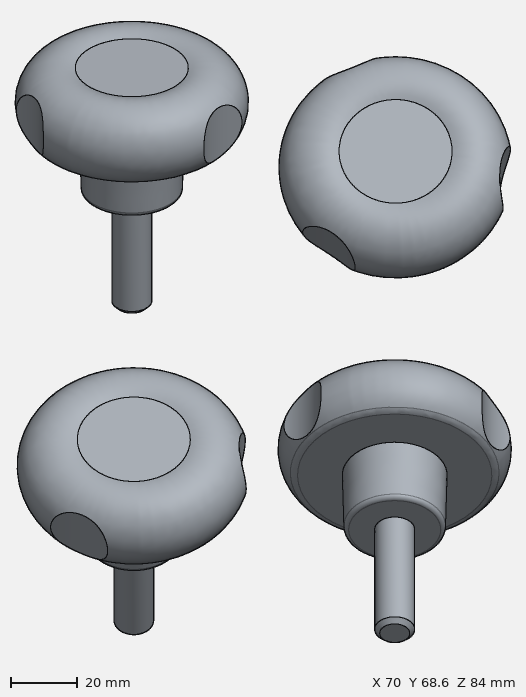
import cadquery as cq
import math

total_height = 84.0

stud_diameter = 12.0
stud_length = 40.0
stud_chamfer = 1.5

hub_length = 21.0
hub_top_diameter = 31.4
hub_bottom_diameter = 30.4
hub_edge_fillet = 1.4

head_diameter = 70.0
ring_section_radius = 13.0
dish_depth = 1.0
head_edge_fillet = 3.0

scallop_count = 3
scallop_diameter = 50.0
scallop_floor_distance = 31.6
first_scallop_angle = -90.0

ring_radius = head_diameter / 2 - ring_section_radius
ring_center_z = total_height - ring_section_radius
head_bottom_z = stud_length + hub_length
dish_floor_z = total_height - dish_depth


def ring_section_half_width(z):
    """Half width of the round ring section at height z."""
    return math.sqrt(ring_section_radius**2 - (z - ring_center_z) ** 2)


def make_stud():
    stud = cq.Workplane("XY").circle(stud_diameter / 2).extrude(head_bottom_z)
    return stud.faces("<Z").chamfer(stud_chamfer)


def make_hub():
    hub = (
        cq.Workplane("XY", origin=(0, 0, stud_length))
        .circle(hub_bottom_diameter / 2)
        .workplane(offset=hub_length)
        .circle(hub_top_diameter / 2)
        .loft()
    )
    return hub.faces("<Z").edges().fillet(hub_edge_fillet)


def make_head():
    dish_radius = ring_radius - ring_section_half_width(dish_floor_z)
    underside_radius = ring_radius + ring_section_half_width(head_bottom_z)
    head = (
        cq.Workplane("XZ")
        .moveTo(0, head_bottom_z)
        .lineTo(underside_radius, head_bottom_z)
        .threePointArc((head_diameter / 2, ring_center_z), (dish_radius, dish_floor_z))
        .lineTo(0, dish_floor_z)
        .close()
        .revolve(360, (0, 0, 0), (0, 1, 0))
    )
    return head.faces("<Z").edges().fillet(head_edge_fillet)


def make_scallop_cutters():
    center_distance = scallop_floor_distance + scallop_diameter / 2
    return (
        cq.Workplane("XY", origin=(0, 0, head_bottom_z))
        .polarArray(center_distance, first_scallop_angle, 360, scallop_count)
        .circle(scallop_diameter / 2)
        .extrude(total_height - head_bottom_z)
    )


head = make_head().cut(make_scallop_cutters())
result = head.union(make_hub()).union(make_stud())